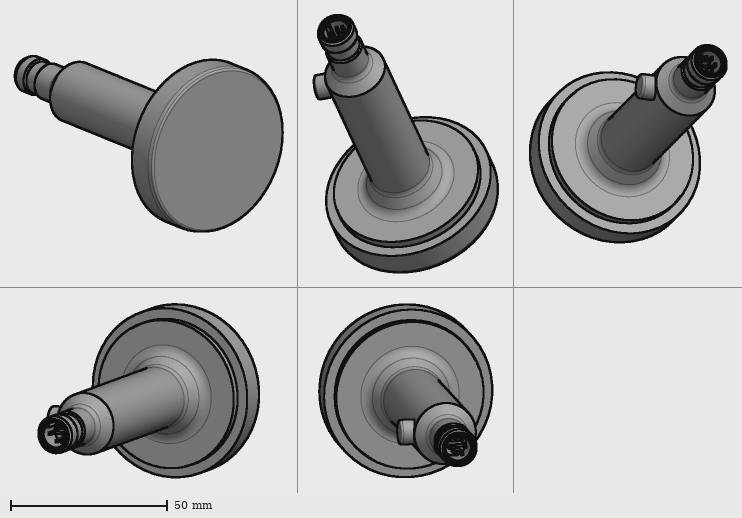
import cadquery as cq
import math

LENGTH = 96.6

RIM_RADIUS = 10.4 / 2
RIM_LENGTH = 0.7
PLUG_RADIUS = 12.0 / 2
PLUG_CHAMFER = PLUG_RADIUS - RIM_RADIUS
GROOVE_RADIUS = 10.7 / 2
GROOVE_CHAMFER = PLUG_RADIUS - GROOVE_RADIUS
GROOVE_START = 5.4
GROOVE_END = 10.9

SHANK_RADIUS = 20.0 / 2
SHANK_START = 23.8
SHANK_END = 76.1
CONE_ANGLE = 45.0
CONE_FILLET = 3.0
FLARE_ANGLE = 30.0
FLARE_FILLET = 4.0

STEP_RADIUS = 48.0 / 2
STEP_START = 83.6
FLANGE_RADIUS = 54.9 / 2
FLANGE_START = 86.5
TAPER_START = 94.8
TAPER_ANGLE = 15.0
EDGE_FILLET = 0.8

MOUTH_RADIUS = 9.5 / 2
MOUTH_DEPTH = 0.7
BORE_RADIUS = 8.5 / 2
INSERT_RADIUS = 8.3 / 2
INSERT_START = 1.45
SOCKET_DEPTH = 9.7
KEY_OFFSET = 2.2

BLADE_THICKNESS = 0.8
PRONG_WIDTH = 0.6
PRONG_LENGTH = 2.9
CENTER_BLADE_WIDTH = 5.6
CENTER_BLADE_TIP = 2.3
SIDE_BLADE_WIDTH = 2.5
SIDE_BLADE_TIP = 3.0
SIDE_BLADE_Y = -0.7
SIDE_BLADE_Z = 2.4

BUTTON_RADIUS = 7.9 / 2
BUTTON_X = 28.5
BUTTON_TOP = 14.1
BUTTON_FILLET = 0.8


def slope(angle):
    return math.tan(math.radians(angle))


def bend_travel(radius, start_angle, end_angle):
    """X and radial travel along an arc that turns from one heading to another, measured from +X."""
    start = math.radians(start_angle)
    end = math.radians(end_angle)
    turn = math.copysign(radius, end - start)
    return turn * (math.sin(end) - math.sin(start)), turn * (math.cos(start) - math.cos(end))


def bend(profile, x, r, radius, start_angle, end_angle):
    """Continue the profile from (x, r) along an arc between two headings."""
    mid_dx, mid_dr = bend_travel(radius, start_angle, (start_angle + end_angle) / 2)
    end_dx, end_dr = bend_travel(radius, start_angle, end_angle)
    return profile.threePointArc((x + mid_dx, r + mid_dr), (x + end_dx, r + end_dr))


def turned_body():
    foot_dx, foot_dr = bend_travel(CONE_FILLET, 0, CONE_ANGLE)
    cone_height = SHANK_RADIUS - PLUG_RADIUS - foot_dr
    foot_x = SHANK_START - cone_height / slope(CONE_ANGLE) - foot_dx

    flare_dx, flare_dr = bend_travel(FLARE_FILLET, 0, FLARE_ANGLE)
    root_dx, _ = bend_travel(FLARE_FILLET, FLARE_ANGLE, 90)
    root_x = STEP_START - root_dx
    root_r = SHANK_RADIUS + flare_dr + (root_x - SHANK_END - flare_dx) * slope(FLARE_ANGLE)

    edge_dx, _ = bend_travel(EDGE_FILLET, -TAPER_ANGLE, -90)
    edge_x = LENGTH - edge_dx
    edge_r = FLANGE_RADIUS - (edge_x - TAPER_START) * slope(TAPER_ANGLE)

    profile = (
        cq.Workplane("XY")
        .lineTo(0, RIM_RADIUS)
        .lineTo(RIM_LENGTH, RIM_RADIUS)
        .lineTo(RIM_LENGTH + PLUG_CHAMFER, PLUG_RADIUS)
        .lineTo(GROOVE_START, PLUG_RADIUS)
        .lineTo(GROOVE_START + GROOVE_CHAMFER, GROOVE_RADIUS)
        .lineTo(GROOVE_END - GROOVE_CHAMFER, GROOVE_RADIUS)
        .lineTo(GROOVE_END, PLUG_RADIUS)
        .lineTo(foot_x, PLUG_RADIUS)
    )
    profile = bend(profile, foot_x, PLUG_RADIUS, CONE_FILLET, 0, CONE_ANGLE)
    profile = profile.lineTo(SHANK_START, SHANK_RADIUS).lineTo(SHANK_END, SHANK_RADIUS)
    profile = bend(profile, SHANK_END, SHANK_RADIUS, FLARE_FILLET, 0, FLARE_ANGLE)
    profile = profile.lineTo(root_x, root_r)
    profile = bend(profile, root_x, root_r, FLARE_FILLET, FLARE_ANGLE, 90)
    profile = (
        profile.lineTo(STEP_START, STEP_RADIUS)
        .lineTo(FLANGE_START, STEP_RADIUS)
        .lineTo(FLANGE_START, FLANGE_RADIUS)
        .lineTo(TAPER_START, FLANGE_RADIUS)
        .lineTo(edge_x, edge_r)
    )
    profile = bend(profile, edge_x, edge_r, EDGE_FILLET, -TAPER_ANGLE, -90)
    return profile.lineTo(LENGTH, 0).close().revolve(360, (0, 0, 0), (1, 0, 0))


def button():
    return (
        cq.Workplane("XZ")
        .center(BUTTON_X, 0)
        .circle(BUTTON_RADIUS)
        .extrude(-BUTTON_TOP)
        .faces(">Y")
        .edges()
        .fillet(BUTTON_FILLET)
    )


def socket():
    """Cavity of the socket: three coaxial bores, narrower with depth, less the key."""
    mouth = cq.Workplane("YZ").circle(MOUTH_RADIUS).extrude(MOUTH_DEPTH)
    bore = cq.Workplane("YZ").circle(BORE_RADIUS).extrude(INSERT_START)
    insert = cq.Workplane("YZ").circle(INSERT_RADIUS).extrude(SOCKET_DEPTH)
    key = (
        cq.Workplane("XY")
        .box(SOCKET_DEPTH, PLUG_RADIUS, PLUG_RADIUS, centered=False)
        .translate((INSERT_START, KEY_OFFSET, KEY_OFFSET))
    )
    return mouth.union(bore).union(insert).cut(key)


def forked_blade(tip_x, width, y, z):
    """Flat contact from the socket floor to tip_x, ending in a prong at each side."""
    from_tip = (False, True, True)
    gap_width = width - 2 * PRONG_WIDTH
    blade = cq.Workplane("XY").box(SOCKET_DEPTH - tip_x, width, BLADE_THICKNESS, centered=from_tip)
    gap = cq.Workplane("XY").box(PRONG_LENGTH, gap_width, BLADE_THICKNESS, centered=from_tip)
    return blade.cut(gap).translate((tip_x, y, z))


result = turned_body().union(button()).cut(socket())
result = result.union(forked_blade(CENTER_BLADE_TIP, CENTER_BLADE_WIDTH, 0, 0))
for blade_z in (-SIDE_BLADE_Z, SIDE_BLADE_Z):
    result = result.union(forked_blade(SIDE_BLADE_TIP, SIDE_BLADE_WIDTH, SIDE_BLADE_Y, blade_z))